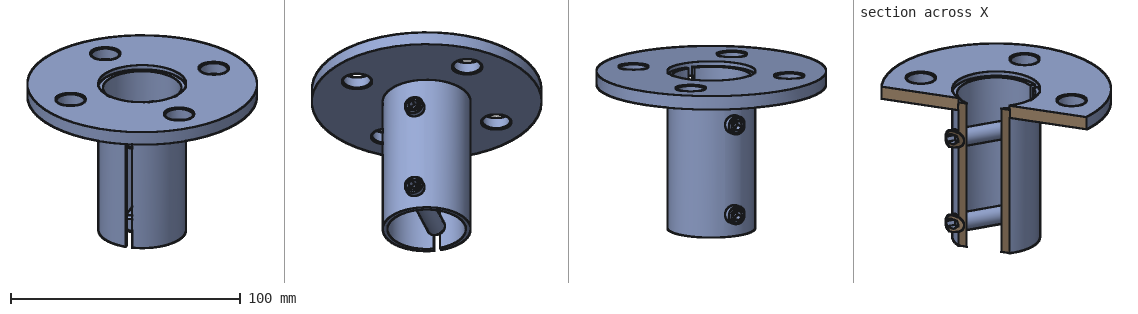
import cadquery as cq
import math

flange_diameter = 100.0
flange_thickness = 6.0
bolt_hole_diameter = 12.2
bolt_hole_chamfer = 0.5
bolt_circle_radius = 35.0
bolt_hole_count = 4

overall_height = 70.0
tube_outer_diameter = 38.3
tube_inner_diameter = 34.1
tube_top_recess = 2.0
tube_length = overall_height - tube_top_recess
slit_width = 3.0
slit_angle = -45.0

screw_diameter = 8.0
screw_head_radius = 22.8
screw_length = 40.0
screw_tip_radius = screw_length - screw_head_radius
screw_tip_chamfer = 1.2
screw_head_chamfer = 0.8
socket_across_flats = 4.0
socket_depth = 4.0
socket_rotation = -15.0
screw_heights = [-20.0, -60.0]


def make_flange():
    """Round plate with a bore for the tube and bolt holes chamfered at both ends."""
    plate = cq.Workplane("XY").circle(flange_diameter / 2).extrude(-flange_thickness)
    plate = (
        plate.faces(">Z").workplane()
        .polarArray(bolt_circle_radius, 0, 360, bolt_hole_count)
        .hole(bolt_hole_diameter)
    )
    plate = plate.faces("|Z").edges("%CIRCLE").edges(
        cq.selectors.RadiusNthSelector(0)
    ).chamfer(bolt_hole_chamfer)
    return plate.faces(">Z").workplane(origin=(0, 0, 0)).hole(tube_outer_diameter)


def screw_axis_plane(height, distance):
    """Plane across the screw axis, facing from the slit towards the socket end."""
    angle = math.radians(slit_angle + 180)
    direction = (math.cos(angle), math.sin(angle), 0)
    origin = (distance * direction[0], distance * direction[1], height)
    return cq.Plane(origin=origin, xDir=(-direction[1], direction[0], 0), normal=direction)


def make_screw_blank(height):
    """Screw without its socket: chamfered at both ends."""
    outward = screw_axis_plane(height, 0).zDir
    return (
        cq.Workplane(screw_axis_plane(height, -screw_tip_radius))
        .circle(screw_diameter / 2)
        .extrude(screw_length)
        .faces(cq.selectors.DirectionMinMaxSelector(outward, False))
        .edges().chamfer(screw_tip_chamfer)
        .faces(cq.selectors.DirectionMinMaxSelector(outward, True))
        .edges().chamfer(screw_head_chamfer)
    )


def make_screw(height):
    """Headless screw with a hexagon socket in its outer end."""
    socket = (
        cq.Workplane(screw_axis_plane(height, screw_head_radius))
        .transformed(rotate=(0, 0, socket_rotation))
        .polygon(6, socket_across_flats / math.cos(math.pi / 6))
        .extrude(-socket_depth)
    )
    return make_screw_blank(height).cut(socket)


def make_tube():
    """Tube slit along its full length, with a hole and a shallow tip seat for each screw."""
    tube = (
        cq.Workplane("XY", origin=(0, 0, -overall_height))
        .circle(tube_outer_diameter / 2)
        .circle(tube_inner_diameter / 2)
        .extrude(tube_length)
    )
    slit = (
        cq.Workplane("XY", origin=(0, 0, -overall_height))
        .box(tube_outer_diameter, slit_width, tube_length, centered=(False, True, False))
        .rotate((0, 0, 0), (0, 0, 1), slit_angle)
    )
    tube = tube.cut(slit)
    for height in screw_heights:
        tube = tube.cut(make_screw_blank(height))
    return tube


flange = make_flange()
tube = make_tube()
screws = [make_screw(height) for height in screw_heights]

result = cq.Compound.makeCompound([flange.val(), tube.val(), *[screw.val() for screw in screws]])